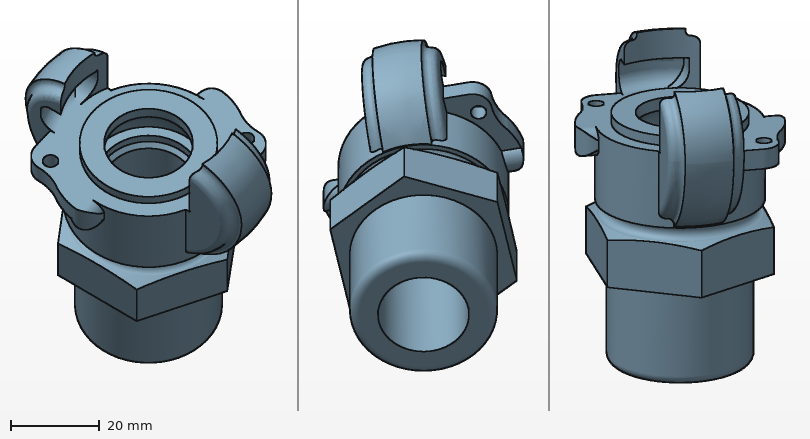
import cadquery as cq
import math

total_height = 72.0
pipe_diameter = 33.3
pipe_end_rounding = 2.1
hex_bottom = 23.05
hex_across_flats = 38.45
hex_top = 35.35
hex_chamfer_radius = 18.7
hex_chamfer_angle = 16.0

neck_top = 38.9
neck_radius = 16.85
neck_top_radius = 18.1
neck_bottom_radius = 18.6
body_radius = hex_across_flats / 2
body_top = 57.2
collar_diameter = 31.0
collar_top = 59.55

mouth_diameter = 20.0
lower_bore_diameter = 20.5
lower_bore_top = 45.0
throat_diameter = 23.0
throat_bottom = 45.9
throat_top = 48.1
seal_groove_diameter = 28.0
seal_groove_top = 56.6
seal_groove_wall_radius = 10.8

claw_radius = 30.95
claw_mid_height = 58.7
claw_lower_arc = 21.95
claw_width = 17.6
crown_width = 11.2
shoulder_step = 1.6
shoulder_rounding = 1.8
step_rounding = 1.3
claw_inner_radius = 20.15
claw_reach = claw_radius - claw_inner_radius
tip_rise = total_height - claw_mid_height
claw_upper_arc = (tip_rise**2 + claw_reach**2) / (2 * claw_reach)

pocket_radius = 25.35
pocket_top = 65.0
pocket_end_y = 6.4
pocket_upper_rounding = 2.7
pocket_lower_rounding = 3.6
pocket_end_rounding = 5.05

flange_thickness = 4.75
flange_side_x = 21.0
flange_corner_y = 14.6
flange_corner_radius = 4.4
ear_hole_diameter = 3.5
ear_hole_x = 15.7
ear_hole_y = 15.85
nose_radius = 5.05
nose_x = 3.1
flange_width = 47.0
swell_mid = (6.85, 22.6)
swell_end = (9.8, 21.25)
bump_radius = 3.3
bump_x = 1.2


def opposite(solid):
    """Copy of a solid turned half a turn about the coupling axis."""
    return solid.rotate((0, 0, 0), (0, 0, 1), 180)


def cylinder(diameter, bottom, top):
    return cq.Workplane("XY").workplane(offset=bottom).circle(diameter / 2).extrude(top - bottom)


def make_pipe():
    pipe = cylinder(pipe_diameter, 0, hex_bottom)
    return pipe.faces("<Z").edges().fillet(pipe_end_rounding)


def make_hexagon():
    corner_diameter = hex_across_flats / math.cos(math.pi / 6)
    corner_radius = corner_diameter / 2
    chamfer_drop = (corner_radius - hex_chamfer_radius) * math.tan(math.radians(hex_chamfer_angle))
    prism = (
        cq.Workplane("XY")
        .workplane(offset=hex_bottom)
        .polygon(6, corner_diameter)
        .extrude(hex_top - hex_bottom)
    )
    envelope = (
        cq.Workplane("XZ")
        .moveTo(0, hex_bottom)
        .lineTo(corner_radius, hex_bottom)
        .lineTo(corner_radius, hex_top - chamfer_drop)
        .lineTo(hex_chamfer_radius, hex_top)
        .lineTo(0, hex_top)
        .close()
        .revolve(360, (0, 0, 0), (0, 1, 0))
    )
    return prism.intersect(envelope)


def make_neck():
    return (
        cq.Workplane("XZ")
        .moveTo(0, hex_top)
        .lineTo(neck_bottom_radius, hex_top)
        .threePointArc((neck_radius, (hex_top + neck_top) / 2), (neck_top_radius, neck_top))
        .lineTo(0, neck_top)
        .close()
        .revolve(360, (0, 0, 0), (0, 1, 0))
    )


def arc_point(center_x, radius, degrees):
    """Point of a claw arc, whose centre lies at the claw's mid height."""
    angle = math.radians(degrees)
    return (center_x + radius * math.cos(angle), claw_mid_height + radius * math.sin(angle))


def claw_slab(inset, width):
    """Ring with the claw's outer profile, moved inwards and cut to a width along Y."""
    upper_arc = claw_upper_arc - inset
    lower_arc = claw_lower_arc - inset
    upper_center = claw_radius - claw_upper_arc
    lower_center = claw_radius - claw_lower_arc
    lower_end_angle = -math.degrees(math.asin((claw_mid_height - neck_top) / claw_lower_arc))
    lower_end = arc_point(lower_center, lower_arc, lower_end_angle)
    ring = (
        cq.Workplane("XZ")
        .moveTo(0, lower_end[1])
        .lineTo(*lower_end)
        .threePointArc(arc_point(lower_center, lower_arc, lower_end_angle / 2),
                       (claw_radius - inset, claw_mid_height))
        .threePointArc(arc_point(upper_center, upper_arc, 45),
                       (upper_center, claw_mid_height + upper_arc))
        .lineTo(0, claw_mid_height + upper_arc)
        .close()
        .revolve(360, (0, 0, 0), (0, 1, 0))
    )
    slab = cq.Workplane("XY").box(3 * claw_radius, width, 3 * total_height)
    return ring.intersect(slab)


def make_pocket():
    """Pocket swept around the axis through the -X claw, entering at -Y and ending with a rounded stop."""
    section = (
        cq.Workplane("XZ")
        .moveTo(body_radius, body_top)
        .lineTo(pocket_radius - pocket_lower_rounding, body_top)
        .radiusArc((pocket_radius, body_top + pocket_lower_rounding), -pocket_lower_rounding)
        .lineTo(pocket_radius, pocket_top - pocket_upper_rounding)
        .radiusArc((pocket_radius - pocket_upper_rounding, pocket_top), -pocket_upper_rounding)
        .lineTo(body_radius, pocket_top)
        .close()
    )
    ring = section.revolve(360, (0, 0, 0), (0, 1, 0))
    stop = (
        cq.Workplane("XY")
        .box(claw_radius, claw_width, pocket_top - body_top, centered=(False, False, False))
        .translate((-claw_radius, pocket_end_y - claw_width, body_top))
        .faces(">Y")
        .edges("<Z")
        .fillet(pocket_end_rounding)
    )
    return ring.intersect(stop)


def is_step_root(edge):
    """True for the curved edges where the crown's sides stand on the shoulders."""
    box = edge.BoundingBox()
    on_crown_side = abs(abs(edge.Center().y) - crown_width / 2) < 0.1 and box.ylen < 0.1
    below_crown = max(box.xmax, -box.xmin) < claw_radius - shoulder_step
    return on_crown_side and below_crown


def make_claws():
    """Pair of hooks with a raised crown and rounded shoulders."""
    shoulders = claw_slab(shoulder_step, claw_width)
    shoulders = shoulders.faces("<Y or >Y").edges("%BSPLINE").fillet(shoulder_rounding)
    claws = shoulders.union(claw_slab(0, crown_width))
    claws = claws.edges("%BSPLINE").filter(is_step_root).fillet(step_rounding)
    opening = cylinder(2 * claw_inner_radius, body_top, 2 * total_height)
    pocket = make_pocket()
    return claws.cut(opening).cut(pocket).cut(opposite(pocket))


def make_flange():
    """Ear with a pin hole and a rounded locking nose, on the +Y side."""
    top_y = flange_width / 2
    nose_y = top_y - nose_radius
    nose_mid = (nose_x - nose_radius * math.sqrt(0.5), nose_y + nose_radius * math.sqrt(0.5))
    corner_x = flange_side_x - flange_corner_radius
    corner_mid = (
        corner_x + flange_corner_radius * math.sqrt(0.5),
        flange_corner_y + flange_corner_radius * math.sqrt(0.5),
    )
    outline = (
        cq.Workplane("XY")
        .moveTo(0, 0)
        .lineTo(flange_side_x, 0)
        .lineTo(flange_side_x, flange_corner_y)
        .threePointArc(corner_mid, (corner_x, flange_corner_y + flange_corner_radius))
        .tangentArcPoint(swell_end, relative=False)
        .threePointArc(swell_mid, (nose_x, top_y))
        .threePointArc(nose_mid, (nose_x - nose_radius, nose_y))
        .close()
    )
    full_height = outline.extrude(body_top)
    plate = (
        cq.Workplane("XY")
        .box(flange_side_x, 2 * top_y, flange_thickness, centered=(False, True, False))
        .translate((bump_x, 0, body_top - flange_thickness))
    )
    bump = (
        cq.Workplane("XZ")
        .center(bump_x, body_top - bump_radius)
        .circle(bump_radius)
        .extrude(-top_y)
    )
    flange = full_height.intersect(plate.union(bump))
    hole = cylinder(ear_hole_diameter, 0, body_top).translate((ear_hole_x, ear_hole_y, 0))
    return flange.cut(hole)


def make_bore():
    """Through bore: narrow mouth, domed seal groove with a flat seat, throat and tapered step."""
    return (
        cq.Workplane("XZ")
        .lineTo(lower_bore_diameter / 2, 0)
        .lineTo(lower_bore_diameter / 2, lower_bore_top)
        .lineTo(throat_diameter / 2, throat_bottom)
        .lineTo(throat_diameter / 2, throat_top)
        .lineTo(seal_groove_diameter / 2, throat_top)
        .radiusArc((mouth_diameter / 2, seal_groove_top), -seal_groove_wall_radius)
        .lineTo(mouth_diameter / 2, collar_top)
        .lineTo(0, collar_top)
        .close()
        .revolve(360, (0, 0, 0), (0, 1, 0))
    )


body = cylinder(2 * body_radius, neck_top, body_top)
collar = cylinder(collar_diameter, body_top, collar_top)
flange = make_flange()
result = (
    make_pipe()
    .union(make_hexagon())
    .union(make_neck())
    .union(body)
    .union(collar)
    .union(make_claws())
    .union(flange)
    .union(opposite(flange))
    .cut(make_bore())
)